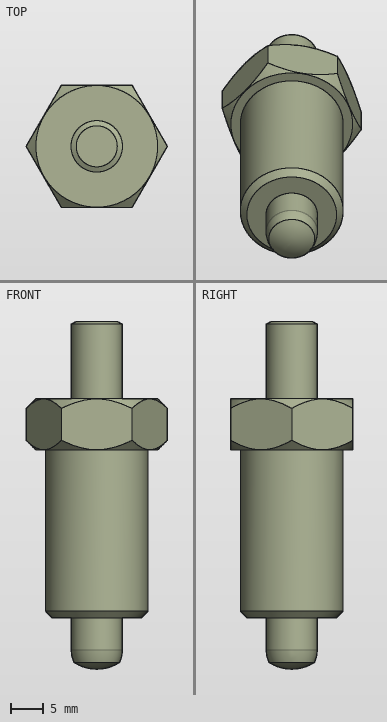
import cadquery as cq
import math

total_height = 54.0
housing_bottom = 8.0
hex_bottom = 34.0
hex_top = 42.0

sleeve_radius = 8.0
sleeve_chamfer = 1.0
hex_across_flats = 19.0
hex_across_corners = hex_across_flats / math.cos(math.pi / 6)
hex_face_radius = 9.45
corner_chamfer = hex_across_corners / 2 - hex_face_radius

pin_radius = 4.0
pin_top_radius = 3.2
pin_top_chamfer_height = 0.45
taper_start_height = 3.0
dome_radius = 3.55
dome_height = 1.1
taper_bulge = 0.1


def make_hex_head():
    """Hexagonal prism with its corners turned off conically at both ends."""
    height = hex_top - hex_bottom
    prism = cq.Workplane("XY").workplane(offset=hex_bottom).polygon(6, hex_across_corners).extrude(height)
    turned_blank = (
        cq.Workplane("XY").workplane(offset=hex_bottom)
        .circle(hex_across_corners / 2).extrude(height)
        .faces("<Z or >Z").chamfer(corner_chamfer)
    )
    return prism.intersect(turned_blank)


def make_housing():
    """Sleeve and hexagonal head in one piece, bored through for the pin."""
    sleeve = (
        cq.Workplane("XY").workplane(offset=housing_bottom)
        .circle(sleeve_radius).extrude(hex_bottom - housing_bottom)
        .faces("<Z").chamfer(sleeve_chamfer)
    )
    bore = cq.Workplane("XY").circle(pin_radius).extrude(total_height)
    return sleeve.union(make_hex_head()).cut(bore)


def make_pin():
    """Rod turned from a half profile: domed tip, bowed taper and chamfered top."""
    dome_sphere_radius = (dome_radius**2 + dome_height**2) / (2 * dome_height)
    dome_mid_radius = dome_radius / 2
    dome_mid_height = dome_sphere_radius - math.sqrt(dome_sphere_radius**2 - dome_mid_radius**2)
    taper_mid_radius = (dome_radius + pin_radius) / 2 + taper_bulge
    taper_mid_height = (dome_height + taper_start_height) / 2
    return (
        cq.Workplane("XZ")
        .moveTo(0, 0)
        .threePointArc((dome_mid_radius, dome_mid_height), (dome_radius, dome_height))
        .threePointArc((taper_mid_radius, taper_mid_height), (pin_radius, taper_start_height))
        .lineTo(pin_radius, total_height - pin_top_chamfer_height)
        .lineTo(pin_top_radius, total_height)
        .lineTo(0, total_height)
        .close()
        .revolve(360, (0, 0, 0), (0, 1, 0))
    )


housing = make_housing()
pin = make_pin()
result = cq.Compound.makeCompound([housing.solids().val(), pin.val()])